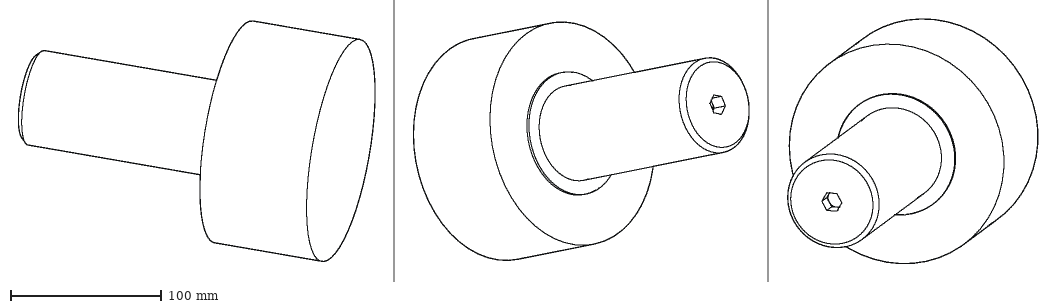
import cadquery as cq
import math

total_length = 216.0
head_diameter = 150.0
head_length = 74.5
collar_diameter = 82.5
collar_length = 2.0
shaft_diameter = 64.0
chamfer_length = 3.5
chamfer_depth = 3.2

socket_flats = 12.0
socket_depth = 10.8
drill_point_angle = 120.0

shaft_end_x = -(total_length - head_length)
collar_x = -collar_length


def make_body():
    """Revolve the stepped half-profile about the X axis."""
    shaft_radius = shaft_diameter / 2
    collar_radius = collar_diameter / 2
    head_radius = head_diameter / 2
    profile = [
        (shaft_end_x, 0),
        (shaft_end_x, shaft_radius - chamfer_depth),
        (shaft_end_x + chamfer_length, shaft_radius),
        (collar_x, shaft_radius),
        (collar_x, collar_radius),
        (0, collar_radius),
        (0, head_radius),
        (head_length, head_radius),
        (head_length, 0),
    ]
    return cq.Workplane("XY").polyline(profile).close().revolve(360, (0, 0, 0), (1, 0, 0))


def make_socket():
    """Hexagonal prism with two corners along Y, plus the drill-point cone."""
    across_corners = socket_flats / math.cos(math.radians(30))
    prism = (
        cq.Workplane("YZ", origin=(shaft_end_x, 0, 0))
        .polygon(6, across_corners)
        .extrude(socket_depth)
    )
    cone_radius = socket_flats / 2
    cone_length = cone_radius / math.tan(math.radians(drill_point_angle / 2))
    cone = cq.Solid.makeCone(
        cone_radius,
        0,
        cone_length,
        pnt=cq.Vector(shaft_end_x + socket_depth, 0, 0),
        dir=cq.Vector(1, 0, 0),
    )
    return prism.union(cq.Workplane(obj=cone))


result = make_body().cut(make_socket())